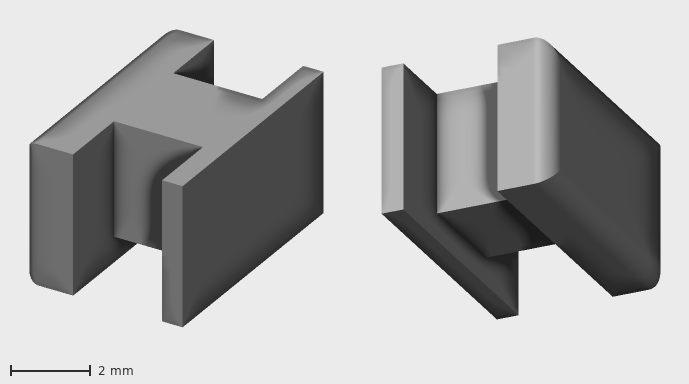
import cadquery as cq

length_x = 4.7
width_y = 6.9
height_z = 4.05

front_thickness = 1.5
back_thickness = 0.6
web_width = 2.9
web_bottom_gap = 0.74
front_edge_radius = 0.5

web_length = length_x - front_thickness - back_thickness
web_height = height_z - web_bottom_gap


def block(x_start, z_start, x_size, y_size, z_size):
    """Box centred on Y, starting at the given X and Z."""
    return (
        cq.Workplane("XY")
        .box(x_size, y_size, z_size, centered=(False, True, False))
        .translate((x_start, 0, z_start))
    )


front_plate = block(0, 0, front_thickness, width_y, height_z)
front_plate = front_plate.faces("<X").edges().fillet(front_edge_radius)

back_plate = block(length_x - back_thickness, 0, back_thickness, width_y, height_z)

web = block(front_thickness, web_bottom_gap, web_length, web_width, web_height)

result = front_plate.union(web).union(back_plate)